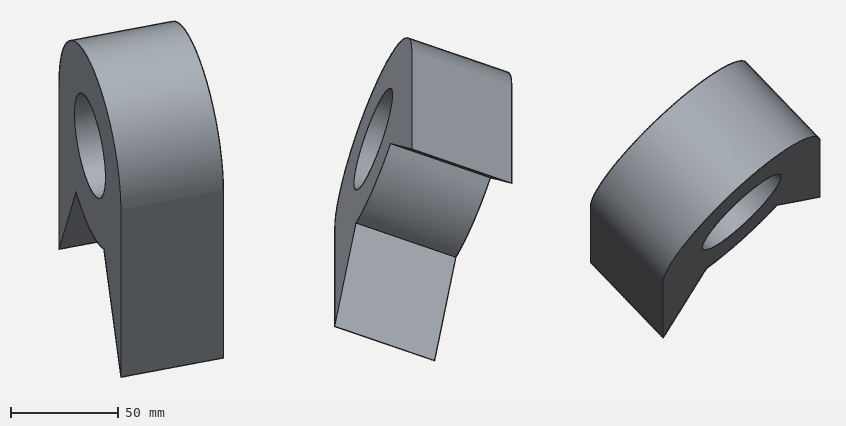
import cadquery as cq
import math

height = 150.0
outer_radius = height / 3
thickness = height / 3
bore_diameter = height / 3

leg_length = height - outer_radius

tip_distance = math.hypot(outer_radius, leg_length)
notch_x = outer_radius * outer_radius / tip_distance
notch_z = -outer_radius * leg_length / tip_distance

body = (
    cq.Workplane("XZ")
    .moveTo(-outer_radius, 0)
    .threePointArc((0, outer_radius), (outer_radius, 0))
    .lineTo(outer_radius, -leg_length)
    .lineTo(notch_x, notch_z)
    .threePointArc((0, -outer_radius), (-notch_x, notch_z))
    .lineTo(-outer_radius, -leg_length)
    .close()
    .extrude(thickness / 2, both=True)
)

result = body.faces("<Y").workplane(origin=(0, 0, 0)).hole(bore_diameter)